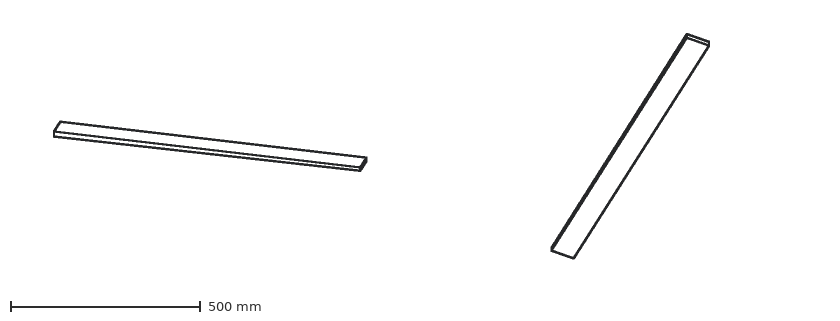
import cadquery as cq

length = 835.0
width = 65.0
thick_end = 15.0
thin_end = 10.0

half_length = length / 2
side_profile = [
    (-half_length, 0),
    (half_length, 0),
    (half_length, thin_end),
    (-half_length, thick_end),
]

result = cq.Workplane("XZ").polyline(side_profile).close().extrude(width / 2, both=True)